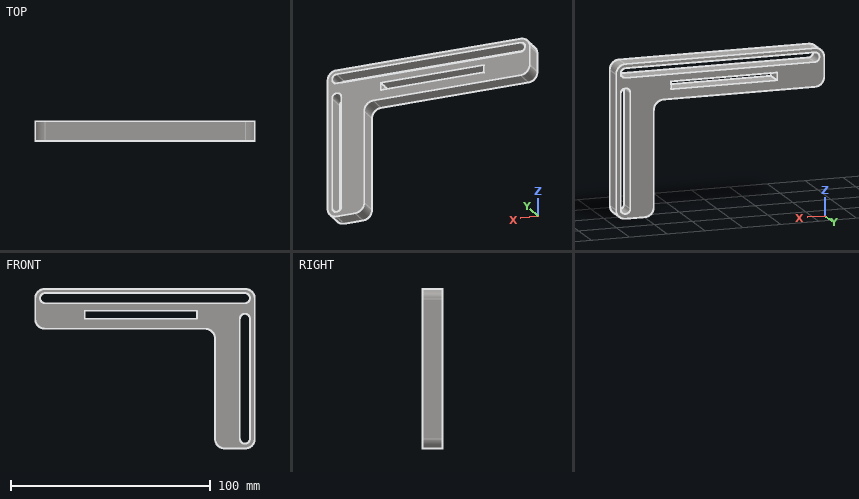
import cadquery as cq

length = 110.0
height = 80.0
thickness = 10.0
arm_width = 20.0
corner_radius = 5.0

slot_width = 5.0
slot_margin = 2.5
top_slot_drop = 2.2
side_slot_drop = 12.5

window_length = 56.0
window_height = 4.0
window_left = 25.0
window_drop = 11.0


def through_cutter(sketch_plane):
    """Extrude a closed profile through the full plate thickness."""
    return sketch_plane.extrude(-thickness)


def front_plane(x, z):
    """Sketch plane on the front face, centred at the given point."""
    return cq.Workplane("XZ", origin=(x, 0, z))


plate = (
    front_plane(0, 0)
    .moveTo(0, height)
    .lineTo(length, height)
    .lineTo(length, 0)
    .lineTo(length - arm_width, 0)
    .lineTo(length - arm_width, height - arm_width)
    .lineTo(0, height - arm_width)
    .close()
    .extrude(-thickness)
    .edges("|Y")
    .fillet(corner_radius)
)

top_slot = through_cutter(
    front_plane(length / 2, height - top_slot_drop - slot_width / 2)
    .slot2D(length - 2 * slot_margin, slot_width)
)

side_slot_length = height - side_slot_drop - slot_margin
side_slot = through_cutter(
    front_plane(length - slot_margin - slot_width / 2, slot_margin + side_slot_length / 2)
    .slot2D(side_slot_length, slot_width, 90)
)

window = through_cutter(
    front_plane(window_left + window_length / 2, height - window_drop - window_height / 2)
    .rect(window_length, window_height)
)

result = plate.cut(top_slot).cut(side_slot).cut(window)